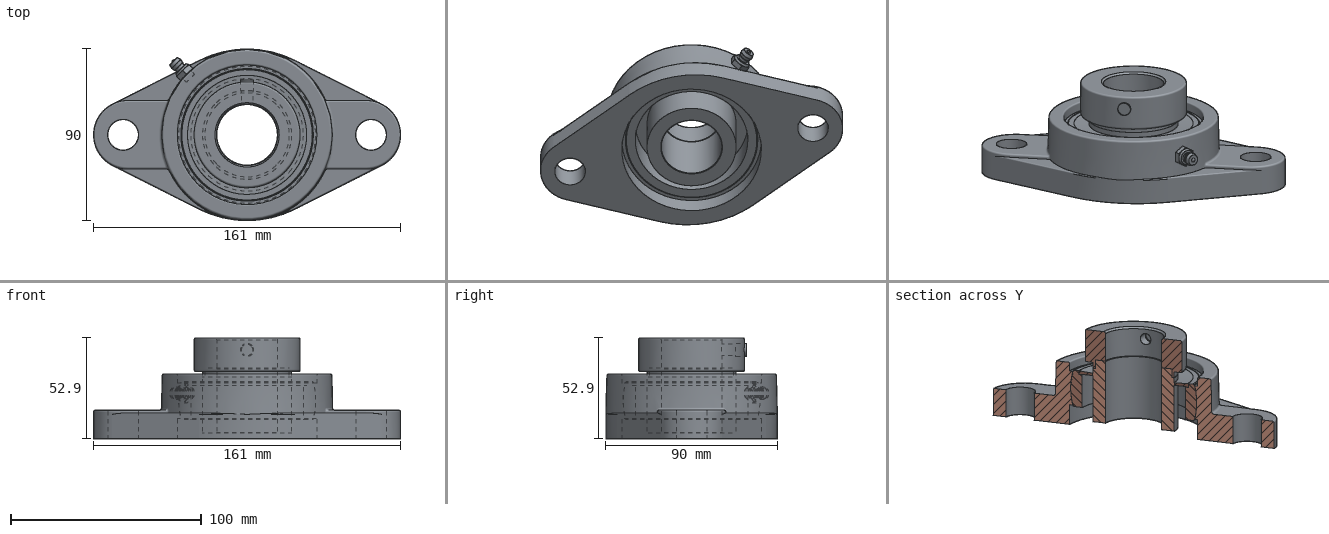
import cadquery as cq
import math

flange_length = 161.0
flange_width = 90.0
plate_height = 13.4
pad_height = 15.0
plate_edge_round = 0.6
pad_edge_round = 1.0
end_radius = 18.0
end_centre_x = flange_length / 2 - end_radius
side_radius = 55.5
side_centre_y = flange_width / 2 - side_radius
bolt_spacing = 130.0
bolt_hole_diameter = 16.0

housing_height = 34.0
barrel_base_radius = 45.0
barrel_top_radius = 44.5
barrel_edge_round = 1.0
cove_radius = 1.2
foot_clear_x = 40.0
seat_radius = 36.0
seat_centre_z = 20.0
seat_half_width = 9.3
mouth_diameter = 73.17
mouth_edge_round = 0.8

outer_ring_half_width = 10.0
outer_ring_bore = 59.01
outer_ring_edge_chamfer = 0.4
seal_diameter = 62.48
seal_thickness = 2.0
seal_dish_depth = 0.4
inner_ring_diameter = 46.67
inner_ring_shoulder_z = 32.3
spigot_diameter = 44.2
inner_ring_half_width = 17.0
inner_ring_top_z = seat_centre_z + inner_ring_half_width
shaft_bore = 31.75
ring_bore_chamfer = 0.3

collar_diameter = 55.6
collar_top_z = 52.91
collar_height = 17.7
collar_bottom_z = collar_top_z - collar_height
collar_edge_round = 1.0
collar_bore_chamfer = 1.0
collar_sleeve_diameter = 46.74
screw_z = 46.6
screw_diameter = 6.78
screw_hole_diameter = 6.0
screw_inner_y = 23.0
screw_outer_y = 28.8

nipple_z = 23.9
nipple_angle = 135.0
nipple_root = 42.0
nipple_hex_start = 44.85
nipple_hex_end = 47.8
nipple_cone_end = 49.0
nipple_neck_end = 50.7
nipple_ridge = 52.6
nipple_face = 54.55
nipple_ball_sink = 0.6
nipple_hex_flats = 9.0
nipple_stem_diameter = 5.99
nipple_cone_diameter = 8.9
nipple_shoulder_diameter = 7.6
nipple_neck_diameter = 5.3
nipple_head_back_diameter = 6.0
nipple_head_diameter = 6.78
nipple_face_diameter = 5.6
nipple_ball_diameter = 2.51


def disc(diameter, bottom, top):
    """Upright cylinder on the bearing axis."""
    return cq.Workplane("XY").workplane(offset=bottom).circle(diameter / 2).extrude(top - bottom)


def flange_outline():
    """Rounded rhombus: two end arcs and two side arcs joined by their common tangents."""
    span = math.hypot(end_centre_x, side_centre_y)
    tangent_angle = math.atan2(-side_centre_y, end_centre_x) + math.acos((side_radius - end_radius) / span)
    normal_x = math.cos(tangent_angle)
    normal_y = math.sin(tangent_angle)
    end_x = end_centre_x + end_radius * normal_x
    end_y = end_radius * normal_y
    side_x = side_radius * normal_x
    side_y = side_centre_y + side_radius * normal_y
    return (
        cq.Workplane("XY")
        .moveTo(end_x, end_y)
        .lineTo(side_x, side_y)
        .threePointArc((0, flange_width / 2), (-side_x, side_y))
        .lineTo(-end_x, end_y)
        .threePointArc((-flange_length / 2, 0), (-end_x, -end_y))
        .lineTo(-side_x, -side_y)
        .threePointArc((0, -flange_width / 2), (side_x, -side_y))
        .lineTo(end_x, -end_y)
        .threePointArc((flange_length / 2, 0), (end_x, end_y))
        .close()
    )


def pad_outline():
    """Slot that carries both bolt holes."""
    return cq.Workplane("XY").slot2D(flange_length, 2 * end_radius)


def nipple_plane(station):
    """Plane across the nipple axis, with its normal pointing outwards."""
    angle = math.radians(nipple_angle)
    outward = cq.Vector(math.cos(angle), math.sin(angle), 0)
    origin = outward * station + cq.Vector(0, 0, nipple_z)
    return cq.Workplane(cq.Plane(origin, xDir=(0, 0, 1), normal=outward))


def make_housing():
    plate = flange_outline().extrude(plate_height).faces(">Z").edges().fillet(plate_edge_round)
    pad = pad_outline().extrude(pad_height).faces(">Z").edges().fillet(pad_edge_round)
    barrel = (
        cq.Workplane("YZ")
        .lineTo(barrel_base_radius, 0)
        .lineTo(barrel_base_radius, plate_height)
        .lineTo(barrel_top_radius, housing_height)
        .lineTo(0, housing_height)
        .close()
        .revolve()
        .faces(">Z")
        .edges()
        .fillet(barrel_edge_round)
    )
    body = plate.union(pad).union(barrel)
    for side in (-1, 1):
        foot = cq.selectors.BoxSelector(
            (side * foot_clear_x, -end_radius, plate_height + plate_edge_round),
            (side * (barrel_base_radius + cove_radius), end_radius, pad_height + cove_radius),
        )
        body = body.edges(foot).fillet(cove_radius)

    seat_bottom = seat_centre_z - seat_half_width
    seat_top = seat_centre_z + seat_half_width
    seat = cq.Workplane("XY").sphere(seat_radius).translate((0, 0, seat_centre_z))
    body = body.cut(seat.intersect(disc(2 * seat_radius, seat_bottom, seat_top)))
    body = body.cut(disc(mouth_diameter, 0, seat_bottom))
    body = body.cut(disc(mouth_diameter, seat_top, housing_height))
    mouth_edge = cq.selectors.RadiusNthSelector(0)
    body = body.faces(">Z").edges(mouth_edge).fillet(mouth_edge_round)

    bolts = cq.Workplane("XY").pushPoints([(-bolt_spacing / 2, 0), (bolt_spacing / 2, 0)])
    body = body.cut(bolts.circle(bolt_hole_diameter / 2).extrude(pad_height))
    stem_hole = nipple_plane(nipple_root).circle(nipple_stem_diameter / 2)
    return body.cut(stem_hole.extrude(nipple_hex_start - nipple_root))


def make_outer_ring():
    """Ring with a spherical outside and a recess for the seal in its upper face."""
    bottom = seat_centre_z - outer_ring_half_width
    top = seat_centre_z + outer_ring_half_width
    ball = cq.Workplane("XY").sphere(seat_radius).translate((0, 0, seat_centre_z))
    ring = ball.intersect(disc(2 * seat_radius, bottom, top))
    ring = ring.faces("<Z or >Z").edges().chamfer(outer_ring_edge_chamfer)
    ring = ring.cut(disc(outer_ring_bore, bottom, top))
    return ring.cut(disc(seal_diameter, top - seal_thickness, top))


def make_seal():
    """Flat-bottomed ring whose upper face dips slightly towards the inner ring."""
    top = seat_centre_z + outer_ring_half_width
    bottom = top - seal_thickness
    return (
        cq.Workplane("XZ")
        .moveTo(inner_ring_diameter / 2, bottom)
        .lineTo(seal_diameter / 2, bottom)
        .lineTo(seal_diameter / 2, top)
        .lineTo(inner_ring_diameter / 2, top - seal_dish_depth)
        .close()
        .revolve()
    )


def make_inner_ring():
    """Ring with a shoulder and a spigot that enters the collar."""
    bottom = seat_centre_z - inner_ring_half_width
    ring = disc(inner_ring_diameter, bottom, inner_ring_shoulder_z)
    ring = ring.union(disc(spigot_diameter, inner_ring_shoulder_z, inner_ring_top_z))
    ring = ring.cut(disc(shaft_bore, bottom, inner_ring_top_z))
    bore_edges = cq.selectors.RadiusNthSelector(0)
    return ring.faces("<Z or >Z").edges("%CIRCLE").edges(bore_edges).chamfer(ring_bore_chamfer)


def make_collar():
    """Locking collar with a short sleeve below it that rests on the inner ring."""
    collar = disc(collar_diameter, collar_bottom_z, collar_top_z).edges().fillet(collar_edge_round)
    collar = collar.union(disc(collar_sleeve_diameter, inner_ring_shoulder_z, collar_bottom_z))
    collar = collar.cut(disc(shaft_bore, inner_ring_shoulder_z, collar_top_z))
    collar = collar.faces(">Z").edges(cq.selectors.RadiusNthSelector(0)).chamfer(collar_bore_chamfer)
    collar = collar.cut(disc(spigot_diameter, inner_ring_shoulder_z, inner_ring_top_z))
    tapped_hole = cq.Workplane("XZ").center(0, screw_z).circle(screw_hole_diameter / 2).extrude(-screw_outer_y)
    return collar.cut(tapped_hole).cut(make_screw())


def make_screw():
    """Set screw on the +Y side of the collar."""
    seat = cq.Workplane("XZ", origin=(0, screw_inner_y, screw_z))
    return seat.circle(screw_diameter / 2).extrude(screw_inner_y - screw_outer_y)


def make_nipple():
    """Turned stem and head with a hexagon at the barrel and a ball in the tip."""
    angle = math.radians(nipple_angle)
    outward = cq.Vector(math.cos(angle), math.sin(angle), 0)
    profile_plane = cq.Plane((0, 0, nipple_z), xDir=outward, normal=outward.cross(cq.Vector(0, 0, 1)))
    turned = (
        cq.Workplane(profile_plane)
        .moveTo(nipple_root, 0)
        .lineTo(nipple_root, nipple_stem_diameter / 2)
        .lineTo(nipple_hex_end, nipple_stem_diameter / 2)
        .lineTo(nipple_hex_end, nipple_cone_diameter / 2)
        .lineTo(nipple_cone_end, nipple_shoulder_diameter / 2)
        .lineTo(nipple_cone_end, nipple_neck_diameter / 2)
        .lineTo(nipple_neck_end, nipple_neck_diameter / 2)
        .lineTo(nipple_neck_end, nipple_head_back_diameter / 2)
        .lineTo(nipple_ridge, nipple_head_diameter / 2)
        .lineTo(nipple_face, nipple_face_diameter / 2)
        .lineTo(nipple_face, 0)
        .close()
        .revolve(360, (0, 0, 0), (1, 0, 0))
    )
    ball = nipple_plane(nipple_face - nipple_ball_sink).sphere(nipple_ball_diameter / 2)
    corner_diameter = nipple_hex_flats / math.cos(math.radians(30))
    hexagon = nipple_plane(nipple_hex_start).polygon(6, corner_diameter)
    return turned.union(ball).union(hexagon.extrude(nipple_hex_end - nipple_hex_start))


housing = make_housing()
outer_ring = make_outer_ring()
seal = make_seal()
inner_ring = make_inner_ring()
collar = make_collar()
screw = make_screw()
nipple = make_nipple()

result = cq.Compound.makeCompound(
    [
        housing.val(),
        outer_ring.val(),
        seal.val(),
        inner_ring.val(),
        collar.val(),
        screw.val(),
        nipple.val(),
    ]
)